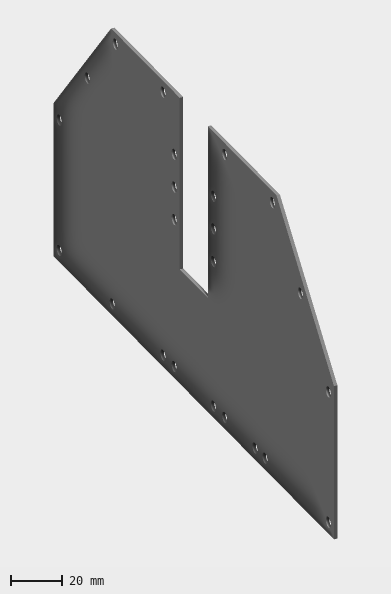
import cadquery as cq

length = 254.0
height = 127.0
thickness = 1.5
top_edge_length = 149.9
side_edge_height = 68.0
slot_width = 25.5
slot_depth = 76.2

hole_diameter = 4.5
edge_margin = 5.0
corner_hole_x = length / 2 - edge_margin
slot_hole_x = slot_width / 2 + edge_margin
inner_hole_x = 28.0
top_outer_hole_x = 71.0
slope_hole_x = 96.5
slope_hole_height = 94.2
side_hole_height = 63.0
left_bottom_hole_x = -74.0
right_bottom_hole_xs = (55.4, 64.5)
slot_hole_pitch = 14.5
left_slot_holes_bottom = 70.4
right_slot_holes_bottom = 69.3
slot_holes_per_side = 3


def plate():
    """Trapezoid-topped plate with an open slot in the middle of its top edge."""
    half_length = length / 2
    half_top = top_edge_length / 2
    half_slot = slot_width / 2
    slot_floor = height - slot_depth
    outline = [
        (-half_length, 0),
        (half_length, 0),
        (half_length, side_edge_height),
        (half_top, height),
        (half_slot, height),
        (half_slot, slot_floor),
        (-half_slot, slot_floor),
        (-half_slot, height),
        (-half_top, height),
        (-half_length, side_edge_height),
    ]
    return (
        cq.Workplane("XZ", origin=(0, 0, -height / 2))
        .polyline(outline)
        .close()
        .extrude(thickness / 2, both=True)
    )


def hole_positions():
    """X and height of every hole."""
    top_row = height - edge_margin
    points = []
    for side in (-1, 1):
        points += [
            (side * corner_hole_x, edge_margin),
            (side * inner_hole_x, edge_margin),
            (side * slot_hole_x, edge_margin),
            (side * corner_hole_x, side_hole_height),
            (side * slope_hole_x, slope_hole_height),
            (side * top_outer_hole_x, top_row),
            (side * inner_hole_x, top_row),
        ]
    for x in (left_bottom_hole_x, *right_bottom_hole_xs):
        points.append((x, edge_margin))
    for i in range(slot_holes_per_side):
        rise = i * slot_hole_pitch
        points.append((-slot_hole_x, left_slot_holes_bottom + rise))
        points.append((slot_hole_x, right_slot_holes_bottom + rise))
    return points


holes = (
    cq.Workplane("XZ", origin=(0, 0, -height / 2))
    .pushPoints(hole_positions())
    .circle(hole_diameter / 2)
    .extrude(thickness, both=True)
)

result = plate().cut(holes)